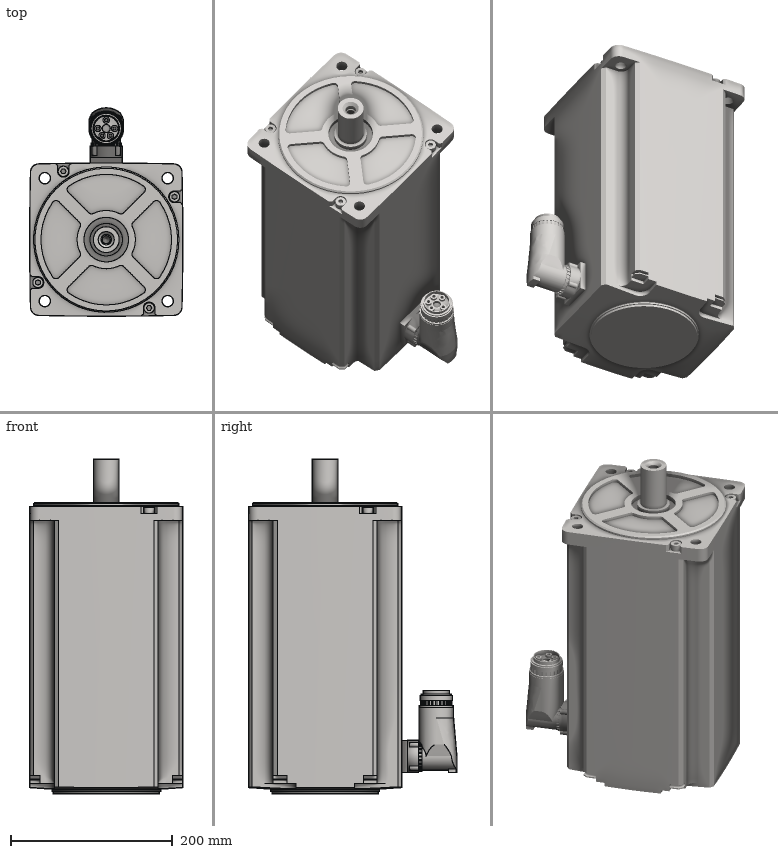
import cadquery as cq
import math

overlap = 4.0

total_height = 414.5
pilot_top = 361.0
flange_top = 356.0
flange_bottom = 338.5
cap_notch_top = 13.0

half_width = 95.0
side_crown = 1.2
flange_corner = 10.8
groove_half = 64.2
groove_lead_depth = 4.5
groove_lead_width = 6.0
groove_fillet = 10.0

rear_disc_radius = 66.0
rear_rim_radius = 67.5
rear_disc_height = 3.0
rear_rim_top = 5.0
cone_base = 6.0
cone_slope = 0.07
cap_notch_y = 36.0
cap_notch_fillet = 13.3

rear_pocket_x = 82.0
rear_pocket_y = 47.3
rear_pocket_top = 23.0
rear_washer_bottom = 17.0
rear_washer_top = 18.5

mount_spacing = 152.0
mount_diameter = 13.5
pilot_diameter = 180.0
pilot_chamfer = 1.5
pilot_neck = 1.2
window_outer_radius = 81.0
window_inner_radius = 36.0
window_depth = 4.0
window_fillet = 5.0
spoke_width = 16.5
seal_outer_diameter = 55.0
seal_inner_diameter = 40.0
seal_depth = 6.2
shaft_diameter = 32.0
center_mouth_diameter = 20.0
center_throat_diameter = 13.0
center_bore_diameter = 10.0
center_bore_depth = 25.0

screw_along = 53.0
screw_out = 84.5
screw_head_diameter = 13.0
screw_pocket_width = 14.5
screw_mouth_width = 21.0
screw_mouth_depth = 3.0
screw_pocket_depth = 9.0
screw_sink = 1.2
screw_socket_diameter = 6.5
screw_socket_depth = 4.0

outlet_z = 46.5
pad_width = 39.8
pad_end = 102.0
collar_diameter = 40.0
collar_end = 115.5
knurl_ring_end = 119.8
knurl_ring_diameter = 37.5
elbow_diameter = 35.0
collar_screw_diameter = 6.5
collar_screw_offset = 14.0
collar_screw_start = 104.5
barrel_y = 137.5
barrel_radius = 21.5
barrel_top = 107.0
barrel_taper_top = 94.0
barrel_back = 163.5
barrel_back_step = 0.5
barrel_back_straight = 14.0
barrel_undercut_top = 61.0
barrel_foot = 26.5
foot_front = 152.5
foot_width = 16.5
tooth_size = 1.5
tooth_count = 24
plug_base_diameter = 42.3
plug_knurl_bottom = 109.5
plug_knurl_diameter = 39.5
plug_core_diameter = 37.5
plug_shoulder = 123.5
plug_band_diameter = 40.0
plug_band_bottom = 115.5
plug_band_top = 122.0
plug_neck_diameter = 32.7
plug_top = 128.0
plug_bore_diameter = 30.5
plug_bore_depth = 6.2
pin_circle_radius = 10.5
pin_sleeve_diameter = 8.0
pin_diameter = 4.0
pin_depth = 4.0
pin_sleeve_height = 3.5
pin_angles = (0, 90, 180, 240, 300)
plug_key_diameter = 10.0


def cylinder(diameter, bottom, top, x=0.0, y=0.0):
    """Upright cylinder between two heights."""
    return cq.Workplane("XY", origin=(x, y, bottom)).circle(diameter / 2).extrude(top - bottom)


def cylinder_along_y(diameter, start, end, x=0.0, z=0.0):
    """Cylinder parallel to Y between two Y positions."""
    return cq.Workplane("XZ", origin=(x, start, z)).circle(diameter / 2).extrude(start - end)


def block(x_range, y_range, z_range):
    """Box between three pairs of limits."""
    sizes = [high - low for low, high in (x_range, y_range, z_range)]
    low_corner = (x_range[0], y_range[0], z_range[0])
    return cq.Workplane("XY", origin=low_corner).box(*sizes, centered=False)


def quarter_turns(shape):
    """The shape repeated four times about the motor axis."""
    copies = shape
    for turn in range(1, 4):
        copies = copies.union(shape.rotate((0, 0, 0), (0, 0, 1), 90 * turn))
    return copies


def four_corners(shape):
    """The shape mirrored into all four quadrants."""
    pair = shape.union(shape.mirror("YZ"))
    return pair.union(pair.mirror("XZ"))


def crowned_square(bottom, top):
    """Square prism with slightly bulging sides and rounded corners."""
    corner = half_width - side_crown
    outline = cq.Workplane("XY", origin=(0, 0, bottom)).moveTo(-corner, -corner)
    outline = outline.threePointArc((0, -half_width), (corner, -corner))
    outline = outline.threePointArc((half_width, 0), (corner, corner))
    outline = outline.threePointArc((0, half_width), (-corner, corner))
    outline = outline.threePointArc((-half_width, 0), (-corner, -corner)).close()
    return outline.extrude(top - bottom).edges("|Z").fillet(flange_corner)


def corner_groove():
    """Corner relief of the housing that gives access to one mounting hole."""
    shoulder = half_width - groove_lead_depth
    lip = groove_half - groove_lead_width
    outline = [
        (groove_half, groove_half),
        (groove_half, shoulder),
        (lip, half_width),
        (half_width, half_width),
        (half_width, lip),
        (shoulder, groove_half),
    ]
    groove = cq.Workplane("XY").polyline(outline).close().extrude(flange_bottom)
    inner_edge = cq.selectors.NearestToPointSelector((groove_half, groove_half, flange_bottom / 2))
    return groove.edges(inner_edge).fillet(groove_fillet)


def rear_envelope():
    """Solid of revolution that shapes the rear end into a disc, a rim and a shallow cone."""
    reach = 2 * half_width
    cone_edge = cone_base + cone_slope * (reach - rear_rim_radius)
    outline = [
        (0, 0),
        (rear_disc_radius, 0),
        (rear_disc_radius, rear_disc_height),
        (rear_rim_radius, rear_disc_height),
        (rear_rim_radius, rear_rim_top),
        (rear_disc_radius, rear_rim_top),
        (rear_rim_radius, cone_base),
        (reach, cone_edge),
        (reach, flange_top),
        (0, flange_top),
    ]
    return cq.Workplane("XZ").polyline(outline).close().revolve(360, (0, 0, 0), (0, 1, 0))


def cap_notch():
    """Rounded corner notch in the rear cap."""
    outside = half_width + overlap
    notch = block((groove_half, outside), (cap_notch_y, outside), (0, cap_notch_top))
    return notch.edges("|Z and <X and <Y").fillet(cap_notch_fillet)


def rear_screw_pocket():
    """Pocket beside a corner groove, interrupted by a washer plate."""
    x_range = (rear_pocket_x, half_width + overlap)
    y_range = (rear_pocket_y, groove_half + overlap)
    lower = block(x_range, y_range, (0, rear_washer_bottom))
    upper = block(x_range, y_range, (rear_washer_top, rear_pocket_top))
    return lower.union(upper)


housing = crowned_square(0, flange_top)
housing = housing.cut(four_corners(corner_groove()))
housing = housing.intersect(rear_envelope())
housing = housing.cut(four_corners(cap_notch()))
housing = housing.cut(four_corners(rear_screw_pocket()))


def pilot():
    """Centering pilot with a chamfered rim and an undercut at its foot."""
    neck = cylinder(pilot_diameter - 2 * pilot_neck, flange_top, flange_top + pilot_neck)
    disc = cylinder(pilot_diameter, flange_top + pilot_neck, pilot_top).faces(">Z").chamfer(pilot_chamfer)
    return neck.union(disc)


def windows():
    """Four shallow recesses in the pilot, left between diagonal spokes."""
    floor = pilot_top - window_depth
    ring = cylinder(2 * window_outer_radius, floor, pilot_top)
    ring = ring.cut(cylinder(2 * window_inner_radius, floor, pilot_top))
    for angle in (45, 135):
        spoke = cq.Workplane("XY", origin=(0, 0, floor)).rect(2 * pilot_diameter, spoke_width)
        ring = ring.cut(spoke.extrude(window_depth).rotate((0, 0, 0), (0, 0, 1), angle))
    return ring.edges("|Z").fillet(window_fillet)


def flange_screw_pocket():
    """Screw pocket opening through the front side with a flared mouth."""
    floor = flange_top - screw_pocket_depth
    half_pocket = screw_pocket_width / 2
    half_mouth = screw_mouth_width / 2
    mouth_start = half_width - screw_mouth_depth
    outline = cq.Workplane("XY", origin=(screw_along, 0, floor))
    outline = outline.moveTo(-half_pocket, -screw_out)
    outline = outline.threePointArc((0, half_pocket - screw_out), (half_pocket, -screw_out))
    outline = outline.lineTo(half_pocket, -mouth_start).lineTo(half_mouth, -half_width)
    outline = outline.lineTo(-half_mouth, -half_width).lineTo(-half_pocket, -mouth_start).close()
    return outline.extrude(screw_pocket_depth)


def flange_screw():
    """Socket head of a flange screw."""
    top = flange_top - screw_sink
    head = cylinder(screw_head_diameter, flange_top - screw_pocket_depth, top, screw_along, -screw_out)
    socket = cq.Workplane("XY", origin=(screw_along, -screw_out, top)).polygon(6, screw_socket_diameter)
    return head.cut(socket.extrude(-screw_socket_depth))


mount_holes = four_corners(
    cylinder(mount_diameter, flange_bottom, flange_top, mount_spacing / 2, mount_spacing / 2)
)
seal_groove = cylinder(seal_outer_diameter, pilot_top - seal_depth, pilot_top)
seal_groove = seal_groove.cut(cylinder(seal_inner_diameter, pilot_top - seal_depth, pilot_top))

motor = housing.cut(mount_holes).cut(quarter_turns(flange_screw_pocket()))
motor = motor.union(quarter_turns(flange_screw()))
motor = motor.union(pilot()).cut(windows()).cut(seal_groove)


def center_bore():
    """Center hole: conical mouth, cylindrical bore and drill point."""
    mouth = center_mouth_diameter / 2
    throat = center_throat_diameter / 2
    bore = center_bore_diameter / 2
    cone_end = total_height - (mouth - throat)
    bore_end = total_height - center_bore_depth
    outline = [
        (0, total_height),
        (mouth, total_height),
        (throat, cone_end),
        (throat, cone_end - throat),
        (bore, cone_end - throat),
        (bore, bore_end),
        (0, bore_end - bore),
    ]
    return cq.Workplane("XZ").polyline(outline).close().revolve(360, (0, 0, 0), (0, 1, 0))


motor = motor.union(cylinder(shaft_diameter, pilot_top - seal_depth, total_height)).cut(center_bore())


def toothed_ring(radius, tooth, count, height):
    """Knurled ring standing on the XY plane."""
    ring = cq.Workplane("XY").circle(radius).extrude(height)
    slots = cq.Workplane("XY").polarArray(radius, 0, 360, count).rect(2 * tooth, tooth).extrude(height)
    return ring.cut(slots)


def outlet():
    """Pad and round collar with four screws on the +Y side wall."""
    half_pad = pad_width / 2
    heights = (outlet_z - half_pad, outlet_z + half_pad)
    pad = block((-half_pad, half_pad), (half_width - overlap, pad_end), heights)
    base = pad.union(cylinder_along_y(collar_diameter, pad_end, collar_end, 0, outlet_z))
    for x in (-collar_screw_offset, collar_screw_offset):
        for z in (outlet_z - collar_screw_offset, outlet_z + collar_screw_offset):
            base = base.union(cylinder_along_y(collar_screw_diameter, collar_screw_start, collar_end, x, z))
    return base


def back_half(straight, back, height):
    """Wire of the barrel's rear half: two straight sides joined by an arc."""
    outline = cq.Workplane("XY", origin=(0, barrel_y, height)).moveTo(-barrel_radius, 0)
    outline = outline.lineTo(-barrel_radius, straight).threePointArc((0, back), (barrel_radius, straight))
    return outline.lineTo(barrel_radius, 0).close().wires().val()


def barrel():
    """Upright barrel with a back that leans outwards and sides drawn in above the elbow."""
    back_reach = barrel_back - barrel_y
    top_wire = back_half(barrel_back_step, barrel_radius, barrel_taper_top)
    low_wire = back_half(barrel_back_straight, back_reach, outlet_z)
    lean = cq.Workplane(cq.Solid.makeLoft([top_wire, low_wire]))
    body = cylinder(2 * barrel_radius, outlet_z, barrel_top, 0, barrel_y)
    lean_heights = (outlet_z, barrel_taper_top)
    lean_space = block((-barrel_radius, barrel_radius), (barrel_y, barrel_back), lean_heights)
    body = body.cut(lean_space).union(lean)

    half_elbow = elbow_diameter / 2
    undercut = [
        (half_elbow, outlet_z),
        (barrel_radius, barrel_undercut_top),
        (barrel_radius, outlet_z),
    ]
    undercut = cq.Workplane("XZ", origin=(0, barrel_back, 0)).polyline(undercut).close()
    undercut = undercut.extrude(barrel_back - collar_end)
    body = body.cut(undercut).cut(undercut.mirror("YZ"))

    half_foot = foot_width / 2
    foot_room = cq.Workplane(cq.Solid.extrudeLinear(low_wire, [], cq.Vector(0, 0, barrel_foot - outlet_z)))
    foot = block((-half_foot, half_foot), (foot_front, barrel_back), (barrel_foot, outlet_z))
    back_elbow = cylinder_along_y(elbow_diameter, barrel_y, barrel_back, 0, outlet_z)
    front_elbow = cylinder_along_y(elbow_diameter, collar_end, barrel_y, 0, outlet_z)
    return body.union(front_elbow).union(back_elbow.union(foot).intersect(foot_room))


def outlet_ring():
    """Knurled ring between the collar and the barrel."""
    ring = toothed_ring(knurl_ring_diameter / 2, tooth_size, tooth_count, knurl_ring_end - collar_end)
    return ring.rotate((0, 0, 0), (1, 0, 0), -90).translate((0, collar_end, outlet_z))


def plug():
    """Stepped round plug on the barrel with a socket holding five pin sleeves."""
    body = cylinder(plug_neck_diameter, barrel_top, plug_top, 0, barrel_y)
    rings = (
        (plug_base_diameter, barrel_top, plug_knurl_bottom),
        (plug_core_diameter, barrel_top, plug_shoulder),
        (plug_band_diameter, plug_band_bottom, plug_band_top),
    )
    for diameter, bottom, top in rings:
        body = body.union(cylinder(diameter, bottom, top, 0, barrel_y))
    knurl_height = plug_band_bottom - plug_knurl_bottom
    knurl = toothed_ring(plug_knurl_diameter / 2, tooth_size, tooth_count, knurl_height)
    body = body.union(knurl.translate((0, barrel_y, plug_knurl_bottom)))

    floor = plug_top - plug_bore_depth
    body = body.cut(cylinder(plug_bore_diameter, floor, plug_top, 0, barrel_y))
    body = body.cut(cylinder(plug_key_diameter, floor - pin_depth, floor, 0, barrel_y))
    for angle in pin_angles:
        x = pin_circle_radius * math.cos(math.radians(angle))
        y = barrel_y + pin_circle_radius * math.sin(math.radians(angle))
        body = body.union(cylinder(pin_sleeve_diameter, floor, floor + pin_sleeve_height, x, y))
        body = body.cut(cylinder(pin_diameter, floor - pin_depth, plug_top, x, y))
    return body


result = motor.union(outlet()).union(outlet_ring()).union(barrel()).union(plug())